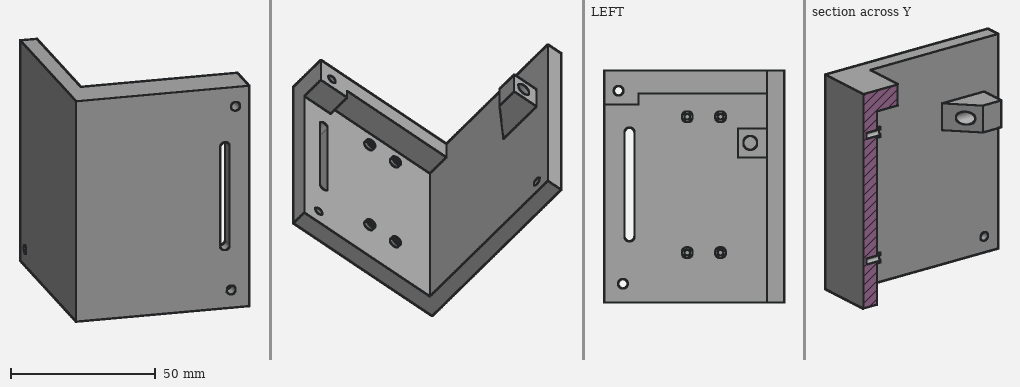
import cadquery as cq

LENGTH_X = 70.0
DEPTH_Y = 62.2
HEIGHT = 80.2
PLATE = 6.0
RIM_WIDTH = 15.0

RIM_HEIGHT = 8.0
TAB_HEIGHT = 11.9
TAB_LENGTH = 11.8

HOLE_DIAMETER = 3.2
FRONT_HOLE_X = 6.0
FRONT_HOLE_Z = 6.0
TAB_HOLE_FROM_BACK = 5.0
TAB_HOLE_FROM_TOP = 7.05
WALL_HOLE_FROM_BACK = 6.5
WALL_HOLE_Z = 6.5

SLOT_FROM_BACK = 8.75
SLOT_WIDTH = 3.4
SLOT_BOTTOM = 21.2
SLOT_TOP = 60.4

SCREW_COLUMNS_FROM_BACK = (28.7, 40.2)
SCREW_ROWS_Z = (17.25, 64.2)
SCREW_DIAMETER = 2.0
SCREW_DEPTH = 6.0
BOSS_DIAMETER = 3.8
BOSS_HEIGHT = 1.5

BLOCK_X = 6.1
BLOCK_FLAT = 8.0
BLOCK_DEPTH = 10.0
BLOCK_BOTTOM = 50.1
BLOCK_HEIGHT = 10.0
BLOCK_BORE = 4.8
BLOCK_BORE_FROM_PLATE = 5.8

RIM_X = LENGTH_X - RIM_WIDTH
WALL_X = LENGTH_X - PLATE


def box(x0, x1, y0, y1, z0, z1):
    """Box between opposite corners."""
    return cq.Workplane("XY").box(x1 - x0, y1 - y0, z1 - z0, centered=False).translate((x0, y0, z0))


def cylinder_x(x, y, z, diameter, depth):
    """Cylinder starting at (x, y, z) and running toward +X."""
    return cq.Workplane("YZ", origin=(x, y, z)).circle(diameter / 2).extrude(depth)


def bracket():
    """Front plate and side wall, with the wall thinned below its rim and tab."""
    plate = box(0, LENGTH_X, 0, PLATE, 0, HEIGHT)
    wall = box(RIM_X, LENGTH_X, 0, DEPTH_Y, 0, HEIGHT)
    tab_y = DEPTH_Y - TAB_LENGTH
    under_rim = box(RIM_X, WALL_X, PLATE, tab_y, 0, HEIGHT - RIM_HEIGHT)
    under_tab = box(RIM_X, WALL_X, tab_y, DEPTH_Y, 0, HEIGHT - TAB_HEIGHT)
    return plate.union(wall).cut(under_rim).cut(under_tab)


def block():
    """Block with a 45 degree back slope, bored through along X."""
    slope_start = BLOCK_X + BLOCK_FLAT
    slope_end = slope_start + BLOCK_DEPTH
    back_y = PLATE + BLOCK_DEPTH
    body = (
        cq.Workplane("XY", origin=(0, 0, BLOCK_BOTTOM))
        .moveTo(BLOCK_X, PLATE)
        .lineTo(BLOCK_X, back_y)
        .lineTo(slope_start, back_y)
        .lineTo(slope_end, PLATE)
        .close()
        .extrude(BLOCK_HEIGHT)
    )
    bore_z = BLOCK_BOTTOM + BLOCK_HEIGHT / 2
    bore_y = PLATE + BLOCK_BORE_FROM_PLATE
    return body.cut(cylinder_x(BLOCK_X, bore_y, bore_z, BLOCK_BORE, slope_end - BLOCK_X))


def slot():
    """Round-ended vertical slot through the thin wall."""
    return (
        cq.Workplane("YZ", origin=(WALL_X, DEPTH_Y - SLOT_FROM_BACK, (SLOT_BOTTOM + SLOT_TOP) / 2))
        .slot2D(SLOT_TOP - SLOT_BOTTOM, SLOT_WIDTH, 90)
        .extrude(PLATE)
    )


def screw_boss(y, z):
    """Round boss standing on the inner face of the thin wall."""
    return cylinder_x(WALL_X - BOSS_HEIGHT, y, z, BOSS_DIAMETER, BOSS_HEIGHT)


def screw_hole(y, z):
    """Blind hole entering from the end of a boss."""
    return cylinder_x(WALL_X - BOSS_HEIGHT, y, z, SCREW_DIAMETER, SCREW_DEPTH)


result = bracket().union(block()).cut(slot())

front_hole = (
    cq.Workplane("XZ", origin=(FRONT_HOLE_X, PLATE, FRONT_HOLE_Z))
    .circle(HOLE_DIAMETER / 2)
    .extrude(PLATE)
)
tab_hole = cylinder_x(
    RIM_X, DEPTH_Y - TAB_HOLE_FROM_BACK, HEIGHT - TAB_HOLE_FROM_TOP, HOLE_DIAMETER, RIM_WIDTH
)
wall_hole = cylinder_x(WALL_X, DEPTH_Y - WALL_HOLE_FROM_BACK, WALL_HOLE_Z, HOLE_DIAMETER, PLATE)
result = result.cut(front_hole).cut(tab_hole).cut(wall_hole)

for from_back in SCREW_COLUMNS_FROM_BACK:
    for row_z in SCREW_ROWS_Z:
        column_y = DEPTH_Y - from_back
        result = result.union(screw_boss(column_y, row_z)).cut(screw_hole(column_y, row_z))